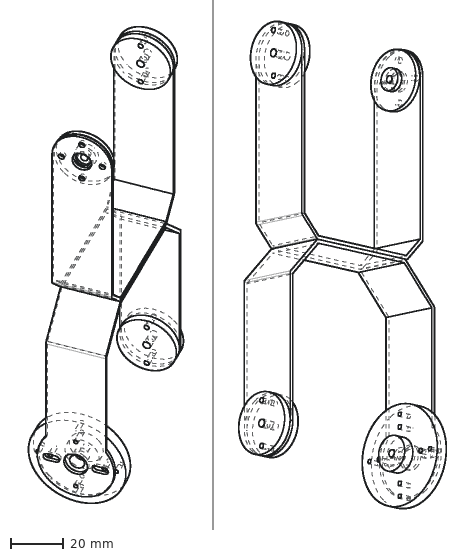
import cadquery as cq
import math

total_height = 178.5
total_depth = 82.5
sheet = 1.5
strap_width = 24.5
strap_radius = strap_width / 2

flat_back_y = 23.2
upper_flat_front_y = -26.2
lower_flat_front_y = -25.2
upper_back_y = 31.8
upper_front_y = -34.8

disc_thickness = 2 * sheet
disc_bore = 3.0
disc_pin_hole = 2.0
disc_pin_offset = 9.0
disc_radius = strap_radius

lower_front_y = -total_depth / 2
lower_back_y = total_depth / 2 - disc_thickness

flange_radius = 12.0
flange_thickness = 2.1
flange_hub_radius = 4.5
flange_hub_length = 2.1
flange_recess_depth = 1.0
flange_opening_radius = 4.0
flange_bolt_offset = 8.4
flange_bolt_hole = 2.3

wheel_radius = 20.0
wheel_thickness = 5.0
wheel_hub_radius = 7.0
wheel_hub_length = 4.5
wheel_recess_depth = wheel_thickness
wheel_bolt_offset = 11.0
wheel_bolt_hole = 1.8
wheel_rim_hole_offset = 16.0
wheel_rim_hole = 1.6

recess_radius = 3.0
shaft_hole = 2.9

pad_radius = 15.7
pad_opening_radius = 4.8
pad_pin_hole = 1.6
pad_slot_offset = 10.0
pad_slot_length = 6.6
pad_slot_width = 3.0

upper_axis_z = 73.0
lower_axis_z = upper_axis_z + strap_radius + wheel_radius - total_height
lower_disc_axis_z = -upper_axis_z

CROSS = (0, 90, 180, 270)
UP_DOWN = (90, 270)

mitre_inset = sheet * math.tan(math.radians(45 / 2))


def cylinder(radius, y_start, length, z, x=0.0):
    """Cylinder along +Y that starts at y_start."""
    return cq.Workplane("XZ", origin=(x, y_start, z)).circle(radius).extrude(-length)


def hole_ring(diameter, offset, y_start, length, z, angles):
    """Round cutters at the given angles around an axis along Y."""
    cutters = cq.Workplane("XY")
    for angle in angles:
        x = offset * math.cos(math.radians(angle))
        dz = offset * math.sin(math.radians(angle))
        cutters = cutters.add(cylinder(diameter / 2, y_start, length, z + dz, x))
    return cutters.combine()


def bent_strap(front_y, flat_front_y, back_y, side, end_z, round_web_bends):
    """Strap with a flat web on Z = 0 and 45 degree bends into two arms; side is +1 up, -1 down."""
    front_rise = flat_front_y - front_y
    back_rise = back_y - flat_back_y
    outline = [
        (front_y, end_z),
        (front_y, side * front_rise),
        (flat_front_y, 0),
        (flat_back_y, 0),
        (back_y, side * back_rise),
        (back_y, end_z),
        (back_y - sheet, end_z),
        (back_y - sheet, side * (back_rise + mitre_inset)),
        (flat_back_y - mitre_inset, side * sheet),
        (flat_front_y + mitre_inset, side * sheet),
        (front_y + sheet, side * (front_rise + mitre_inset)),
        (front_y + sheet, end_z),
    ]
    strap = (
        cq.Workplane("YZ", origin=(-strap_width / 2, 0, 0))
        .polyline(outline)
        .close()
        .extrude(strap_width)
    )
    rounded = [(front_y, side * front_rise), (back_y, side * back_rise)]
    if round_web_bends:
        rounded += [(flat_front_y, 0), (flat_back_y, 0)]
    for y, z in rounded:
        strap = strap.edges(cq.selectors.NearestToPointSelector((0, y, z))).fillet(sheet)
    return strap


def make_upper_strap():
    strap = bent_strap(upper_front_y, upper_flat_front_y, upper_back_y, 1, upper_axis_z, True)
    for y in (upper_front_y, upper_back_y - sheet):
        strap = strap.union(cylinder(strap_radius, y, sheet, upper_axis_z))
    strap = strap.cut(cylinder(flange_opening_radius, upper_front_y, sheet, upper_axis_z))
    strap = strap.cut(
        hole_ring(flange_bolt_hole, flange_bolt_offset, upper_front_y, sheet, upper_axis_z, CROSS)
    )
    return strap.cut(cylinder(disc_bore / 2, upper_back_y - sheet, sheet, upper_axis_z))


def make_lower_strap():
    strap = bent_strap(lower_front_y, lower_flat_front_y, lower_back_y, -1, lower_axis_z, False)
    strap = strap.union(cylinder(pad_radius, lower_front_y, sheet, lower_axis_z))
    strap = strap.union(cylinder(strap_radius, lower_back_y - sheet, sheet, lower_disc_axis_z))
    strap = strap.cut(cylinder(pad_opening_radius, lower_front_y, sheet, lower_axis_z))
    strap = strap.cut(
        hole_ring(pad_pin_hole, wheel_bolt_offset, lower_front_y, sheet, lower_axis_z, UP_DOWN)
    )
    slots = (
        cq.Workplane("XZ", origin=(0, lower_front_y, lower_axis_z))
        .pushPoints([(-pad_slot_offset, 0), (pad_slot_offset, 0)])
        .slot2D(pad_slot_length, pad_slot_width)
        .extrude(-sheet)
    )
    strap = strap.cut(slots)
    return strap.cut(cylinder(disc_bore / 2, lower_back_y - sheet, sheet, lower_disc_axis_z))


def make_disc(y_start, z):
    disc = cylinder(disc_radius, y_start, disc_thickness, z)
    disc = disc.cut(cylinder(disc_bore / 2, y_start, disc_thickness, z))
    return disc.cut(hole_ring(disc_pin_hole, disc_pin_offset, y_start, disc_thickness, z, UP_DOWN))


def make_hubbed_plate(radius, thickness, hub_radius, hub_length, recess_depth, y_start, z):
    """Round plate with a hub behind it, a recess in front and a shaft hole right through."""
    plate = cylinder(radius, y_start, thickness, z)
    plate = plate.union(cylinder(hub_radius, y_start + thickness, hub_length, z))
    plate = plate.cut(cylinder(recess_radius, y_start, recess_depth, z))
    return plate.cut(cylinder(shaft_hole / 2, y_start, thickness + hub_length, z))


def make_flange():
    return make_hubbed_plate(
        flange_radius,
        flange_thickness,
        flange_hub_radius,
        flange_hub_length,
        flange_recess_depth,
        upper_front_y + sheet,
        upper_axis_z,
    )


def make_wheel():
    y_start = lower_front_y + sheet
    wheel = make_hubbed_plate(
        wheel_radius,
        wheel_thickness,
        wheel_hub_radius,
        wheel_hub_length,
        wheel_recess_depth,
        y_start,
        lower_axis_z,
    )
    hole_circles = (
        (wheel_bolt_hole, wheel_bolt_offset),
        (wheel_rim_hole, wheel_rim_hole_offset),
    )
    for diameter, offset in hole_circles:
        wheel = wheel.cut(hole_ring(diameter, offset, y_start, wheel_thickness, lower_axis_z, CROSS))
    return wheel


upper_strap = make_upper_strap()
lower_strap = make_lower_strap()
flange = make_flange()
wheel = make_wheel()

discs = []
for arm_y, axis_z in ((upper_back_y, upper_axis_z), (lower_back_y, lower_disc_axis_z)):
    for y_start in (arm_y, arm_y - sheet - disc_thickness):
        discs.append(make_disc(y_start, axis_z).val())

result = cq.Compound.makeCompound(
    [upper_strap.val(), lower_strap.val(), flange.val(), wheel.val(), *discs]
)